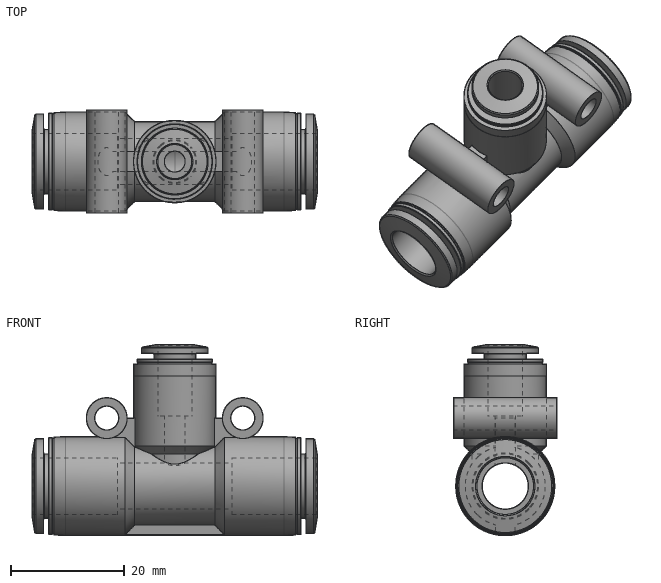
import cadquery as cq

half_length = 25.2
run_radius = 17.5 / 2
waist_radius = 7.05
waist_half_length = 7.05
shoulder_x = waist_half_length + run_radius - waist_radius

branch_top = 33.7 - run_radius
branch_radius = 14.5 / 2
branch_cone_top = 7.05
branch_root_radius = 5.9
branch_cone_bottom = branch_cone_top - (branch_radius - branch_root_radius)

eye_diameter = 7.2
eye_hole_diameter = 4.2
eye_length = 18.2
eye_x = 12.0
eye_z = 12.0
web_thickness = 3.5

run_bore_radius = 8.1 / 2
run_socket_radius = 10.0 / 2
run_socket_depth = 15.1
branch_bore_radius = 3.7 / 2
branch_socket_radius = 6.0 / 2
branch_socket_depth = 12.6
run_lead_in = 0.25
branch_lead_in = 0.2

collar_bevel = 0.2
neck_bevel = 0.15
cap_bevel = 0.1

run_collar_radius = 16.8 / 2
run_collar_start = 0.5
run_collar_end = 2.05
run_neck_radius = 11.4 / 2
run_cap_start = 2.9
run_cap_radius = 17.1 / 2
run_cap_end = 3.7
run_rim_start = 3.95
run_rim_radius = run_radius - 0.1
run_rim_end = 5.95

branch_collar_radius = 11.8 / 2
branch_collar_start = 0.45
branch_collar_end = 1.55
branch_neck_radius = 7.4 / 2
branch_cap_start = 2.55
branch_cap_radius = 13.3 / 2
branch_cap_end = 3.2
branch_rim_start = 3.5
branch_rim_radius = branch_radius + 0.025
branch_rim_end = 5.6


def revolve_up(profile):
    """Revolve a closed (radius, height) outline about Z."""
    return profile.close().revolve(360, (0, 0, 0), (0, 1, 0))


def along_run(solid, side):
    """Turn a solid from +Z to the +X or -X direction."""
    return solid.rotate((0, 0, 0), (0, 1, 0), side * 90)


def port_end(outline, height, cap, neck_radius, collar, face_radius):
    """Finish a port outline with its cap, neck and collar, ending at the axis on the end face.

    The cap and collar are given as (radius, start depth, end depth).
    """
    cap_radius, cap_start, cap_end = cap
    collar_radius, collar_start, collar_end = collar
    groove_radius = cap_radius - cap_bevel
    return (
        outline.lineTo(groove_radius, height(cap_end))
        .lineTo(cap_radius, height(cap_end - cap_bevel))
        .lineTo(cap_radius, height(cap_start + cap_bevel))
        .lineTo(cap_radius - cap_bevel, height(cap_start))
        .lineTo(neck_radius, height(cap_start))
        .lineTo(neck_radius, height(collar_end + neck_bevel))
        .lineTo(neck_radius + neck_bevel, height(collar_end))
        .lineTo(collar_radius, height(collar_end))
        .lineTo(collar_radius, height(collar_start + collar_bevel))
        .lineTo(collar_radius - collar_bevel, height(collar_start))
        .lineTo(face_radius, height(0))
        .lineTo(0, height(0))
    )


def run_end():
    def height(depth):
        return half_length - depth

    outline = (
        cq.Workplane("XZ")
        .moveTo(0, waist_half_length)
        .lineTo(waist_radius, waist_half_length)
        .lineTo(run_radius, shoulder_x)
        .lineTo(run_radius, height(run_rim_end))
        .lineTo(run_rim_radius, height(run_rim_start))
        .lineTo(run_cap_radius - cap_bevel, height(run_rim_start))
    )
    cap = (run_cap_radius, run_cap_start, run_cap_end)
    collar = (run_collar_radius, run_collar_start, run_collar_end)
    face_radius = run_socket_radius + run_lead_in
    return revolve_up(port_end(outline, height, cap, run_neck_radius, collar, face_radius))


def branch():
    def height(depth):
        return branch_top - depth

    outline = (
        cq.Workplane("XZ")
        .lineTo(branch_root_radius, 0)
        .lineTo(branch_root_radius, branch_cone_bottom)
        .lineTo(branch_radius, branch_cone_top)
        .lineTo(branch_radius, height(branch_rim_end))
        .lineTo(branch_rim_radius, height(branch_rim_end))
        .lineTo(branch_rim_radius, height(branch_rim_start))
        .lineTo(branch_cap_radius - cap_bevel, height(branch_rim_start))
    )
    cap = (branch_cap_radius, branch_cap_start, branch_cap_end)
    collar = (branch_collar_radius, branch_collar_start, branch_collar_end)
    face_radius = branch_socket_radius + branch_lead_in
    return revolve_up(port_end(outline, height, cap, branch_neck_radius, collar, face_radius))


def waist():
    start = cq.Workplane("YZ", origin=(-waist_half_length, 0, 0))
    return start.circle(waist_radius).extrude(2 * waist_half_length)


def stepped_bore(top, bore_radius, socket_radius, socket_depth, lead_in):
    """Cutter along +Z: bore from the centre, tube socket and entry chamfer."""
    return revolve_up(
        cq.Workplane("XZ")
        .lineTo(bore_radius, 0)
        .lineTo(bore_radius, top - socket_depth)
        .lineTo(socket_radius, top - socket_depth)
        .lineTo(socket_radius, top - lead_in)
        .lineTo(socket_radius + lead_in, top)
        .lineTo(0, top)
    )


def eye_cylinders(diameter):
    return (
        cq.Workplane("XZ", origin=(0, eye_length / 2, 0))
        .pushPoints([(-eye_x, eye_z), (eye_x, eye_z)])
        .circle(diameter / 2)
        .extrude(eye_length)
    )


def upper_web():
    return cq.Workplane("XY").box(2 * eye_x, web_thickness, eye_z, centered=(True, True, False))


def lower_rib():
    """Rib under the waist, rounded flush with the full run diameter."""
    slab = cq.Workplane("XY").box(2 * shoulder_x, web_thickness, run_radius, centered=(True, True, False))
    slab = slab.translate((0, 0, -run_radius))
    round_bar = cq.Workplane("YZ", origin=(-shoulder_x, 0, 0)).circle(run_radius).extrude(2 * shoulder_x)
    return slab.intersect(round_bar)


body = branch().union(waist()).union(upper_web()).union(lower_rib()).union(eye_cylinders(eye_diameter))
for side in (-1, 1):
    body = body.union(along_run(run_end(), side))

for side in (-1, 1):
    run_cutter = stepped_bore(half_length, run_bore_radius, run_socket_radius, run_socket_depth, run_lead_in)
    body = body.cut(along_run(run_cutter, side))
body = body.cut(
    stepped_bore(branch_top, branch_bore_radius, branch_socket_radius, branch_socket_depth, branch_lead_in)
)

result = body.cut(eye_cylinders(eye_hole_diameter))